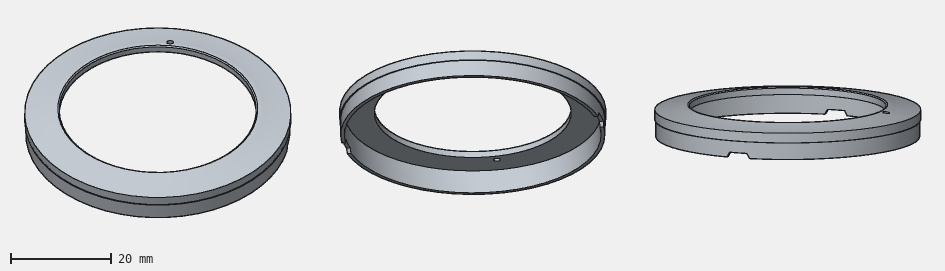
import cadquery as cq
import math

total_height = 6.38
skirt_height = 3.4
rim_height = 2.0
rim_top = skirt_height + rim_height
lip_thickness = 1.5
recess_height = total_height - lip_thickness

rim_diameter = 53.0
rim_radius = rim_diameter / 2
rim_overhang = 0.2
skirt_radius = rim_radius - rim_overhang
skirt_thickness = 0.75
recess_radius = skirt_radius - skirt_thickness
bore_radius = 19.6
bore_chamfer = 0.3
bore_chamfer_drop = 0.2

hollow_radius = 23.4
hollow_height = 5.8
shoulder_radius = 21.1
shoulder_height = 6.24
rim_slope = 0.1

notch_angle = 45.0
notch_height = 1.0
notch_top_width = 3.7
notch_flank_angle = 60.0

hole_diameter = 1.3
hole_pitch_radius = 21.15
hole_angle = notch_angle + 90.0


def make_ring():
    """Revolve the ring section: thin skirt, overhanging rim and inward top lip."""
    crown_points = [
        (hollow_radius, hollow_height),
        (shoulder_radius, shoulder_height),
        (bore_radius + bore_chamfer, total_height),
    ]
    section = (
        cq.Workplane("XZ")
        .moveTo(recess_radius, 0)
        .lineTo(skirt_radius, 0)
        .lineTo(skirt_radius, skirt_height)
        .lineTo(rim_radius, skirt_height)
        .lineTo(rim_radius, rim_top)
        .spline(crown_points, tangents=[(-1, rim_slope), (-1, 0)], includeCurrent=True)
        .lineTo(bore_radius, total_height - bore_chamfer_drop)
        .lineTo(bore_radius, recess_height)
        .lineTo(recess_radius, recess_height)
        .close()
    )
    return section.revolve(360, (0, 0, 0), (0, 1, 0))


def make_notch_cutter():
    """Trapezoidal bar along a diameter, cutting both opposite skirt notches."""
    half_top = notch_top_width / 2
    half_bottom = half_top + notch_height / math.tan(math.radians(notch_flank_angle))
    return (
        cq.Workplane("YZ")
        .polyline([
            (-half_bottom, 0),
            (half_bottom, 0),
            (half_top, notch_height),
            (-half_top, notch_height),
        ])
        .close()
        .extrude(rim_radius, both=True)
        .rotate((0, 0, 0), (0, 0, 1), notch_angle)
    )


def make_hole_cutter():
    """Pin hole passing vertically through the top lip."""
    angle = math.radians(hole_angle)
    return (
        cq.Workplane("XY")
        .center(hole_pitch_radius * math.cos(angle), hole_pitch_radius * math.sin(angle))
        .circle(hole_diameter / 2)
        .extrude(total_height)
    )


result = make_ring().cut(make_notch_cutter()).cut(make_hole_cutter())